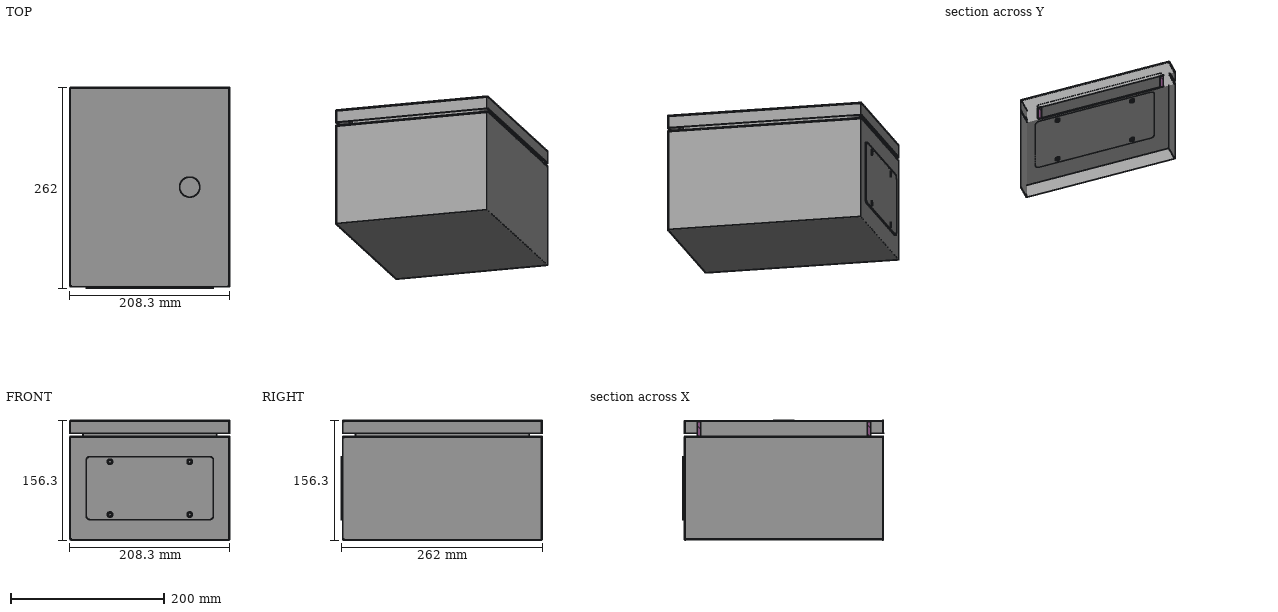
import cadquery as cq

WIDTH = 208.35
DEPTH = 262.0
HEIGHT = 156.26

SHEET = 1.5
BEND_RADIUS = 1.6

PLATE_THICKNESS = 1.5
PLATE_WIDTH = 166.0
PLATE_HEIGHT = 82.2
PLATE_CORNER_RADIUS = 5.0
PLATE_CENTRE_Z = 67.75
SCREW_SPACING_X = 104.0
SCREW_SPACING_Z = 69.0
PLATE_HOLE_DIAMETER = 6.8
WALL_HOLE_DIAMETER = 4.5

DOOR_HEIGHT = 17.0
GAP = 3.75
BOX_HEIGHT = HEIGHT - GAP - DOOR_HEIGHT
SHELL_DEPTH = DEPTH - PLATE_THICKNESS

FRAME_INSET = 16.75
FRAME_WIDTH = WIDTH - 2 * FRAME_INSET
FRAME_DEPTH = SHELL_DEPTH - 2 * FRAME_INSET
FRAME_BAND = 5.0
FRAME_CORNER_RADIUS = 3.0
OPENING_WIDTH = FRAME_WIDTH - 2 * FRAME_BAND
OPENING_DEPTH = FRAME_DEPTH - 2 * FRAME_BAND

LOCK_HOLE_DIAMETER = 26.25
LOCK_HOLE_X = 52.0

FRONT_Y = -SHELL_DEPTH / 2
DOOR_BOTTOM_Z = BOX_HEIGHT + GAP
OVERCUT = 1.0


def block(width, depth, bottom_z, top_z):
    """A block centred on X = Y = 0 between two heights."""
    return (
        cq.Workplane("XY")
        .workplane(offset=bottom_z)
        .rect(width, depth)
        .extrude(top_z - bottom_z)
    )


def front_screw_holes(diameter):
    """Four cylinders along Y that pass through the gland plate and the -Y wall."""
    return (
        cq.Workplane("XZ", origin=(0, FRONT_Y + SHEET + OVERCUT, PLATE_CENTRE_Z))
        .rect(SCREW_SPACING_X, SCREW_SPACING_Z, forConstruction=True)
        .vertices()
        .circle(diameter / 2)
        .extrude(SHEET + PLATE_THICKNESS + 2 * OVERCUT)
    )


def make_box():
    """Hollow box with rounded edges and an opening in its top, under the seal frame."""
    shell = block(WIDTH, SHELL_DEPTH, 0, BOX_HEIGHT).edges().fillet(BEND_RADIUS)
    cavity = block(WIDTH - 2 * SHEET, SHELL_DEPTH - 2 * SHEET, SHEET, BOX_HEIGHT - SHEET)
    opening = block(OPENING_WIDTH, OPENING_DEPTH, BOX_HEIGHT / 2, BOX_HEIGHT + OVERCUT)
    return shell.cut(cavity).cut(opening).cut(front_screw_holes(WALL_HOLE_DIAMETER))


def make_seal_frame():
    """Rectangular frame from the top of the box to the underside of the door panel."""
    frame_top_z = HEIGHT - SHEET
    frame = block(FRAME_WIDTH, FRAME_DEPTH, BOX_HEIGHT, frame_top_z)
    frame = frame.edges("|Z").fillet(FRAME_CORNER_RADIUS)
    return frame.cut(block(OPENING_WIDTH, OPENING_DEPTH, BOX_HEIGHT, frame_top_z))


def make_door():
    """Shallow tray, open downwards, with a round lock hole through its panel."""
    door = block(WIDTH, SHELL_DEPTH, DOOR_BOTTOM_Z, HEIGHT)
    door = door.edges("|Z or >Z").fillet(BEND_RADIUS)
    cavity = block(WIDTH - 2 * SHEET, SHELL_DEPTH - 2 * SHEET, DOOR_BOTTOM_Z, HEIGHT - SHEET)
    lock_hole = (
        cq.Workplane("XY", origin=(LOCK_HOLE_X, 0, DOOR_BOTTOM_Z))
        .circle(LOCK_HOLE_DIAMETER / 2)
        .extrude(DOOR_HEIGHT + OVERCUT)
    )
    return door.cut(cavity).cut(lock_hole)


def make_gland_plate():
    """Round-cornered plate on the outside of the -Y wall, with four screw holes."""
    plate = (
        cq.Workplane("XZ", origin=(0, FRONT_Y, PLATE_CENTRE_Z))
        .rect(PLATE_WIDTH, PLATE_HEIGHT)
        .extrude(PLATE_THICKNESS)
        .edges("|Y")
        .fillet(PLATE_CORNER_RADIUS)
    )
    return plate.cut(front_screw_holes(PLATE_HOLE_DIAMETER))


box = make_box()
seal_frame = make_seal_frame()
door = make_door()
gland_plate = make_gland_plate()

result = cq.Compound.makeCompound(
    [box.val(), seal_frame.val(), door.val(), gland_plate.val()]
)